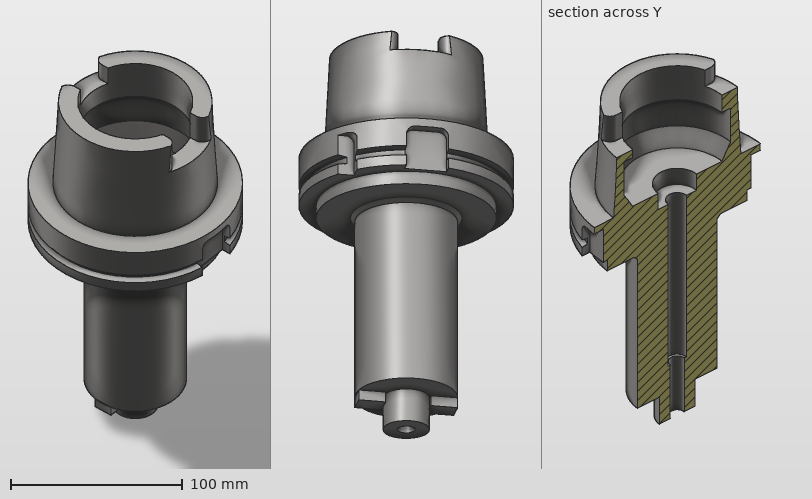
import cadquery as cq
import math


taper_height = 62.5
taper_base_radius = 48.0
taper_top_radius = 44.75

drive_slot_width = 25.0
drive_slot_corner_radius = 6.0
drive_slot_shoulder_x = 41.5
drive_slot_depth_minus_x = 12.0
drive_slot_depth_plus_x = 19.0

flange_radius = 62.5
flange_bottom = -29.5
groove_floor_radius = 58.5
groove_top = -17.3
groove_floor_top = -18.5
groove_floor_bottom = -22.3
groove_bottom = -23.2

pocket_top = -5.0
pocket_width = 25.0
pocket_corner_radius = 5.0
pocket_floor_distance = 55.5
notch_wall_distance = pocket_floor_distance / math.sqrt(2)

collar_radius = 52.5
collar_bottom = -37.3
arbor_radius = 30.0
arbor_flare = 2.5
arbor_bottom = -150.5
pilot_radius = 13.5
pilot_bottom = taper_height - 233.0

key_width = 12.0
key_height = 6.2

mouth_radius = 33.5
mouth_depth = 25.2
chamber_radius = 40.0
chamber_depth = 49.8
chamber_cone_angle = 30.0
seat_bore_radius = 14.4
seat_bore_depth = 12.0
coolant_bore_radius = 6.8
screw_hole_radius = 5.2
screw_hole_length = 40.0


def make_body():
    """Revolve the outer profile of the whole holder."""
    outline = [
        (0, taper_height),
        (taper_top_radius, taper_height),
        (taper_base_radius, 0),
        (flange_radius, 0),
        (flange_radius, groove_top),
        (groove_floor_radius, groove_floor_top),
        (groove_floor_radius, groove_floor_bottom),
        (flange_radius, groove_bottom),
        (flange_radius, flange_bottom),
        (collar_radius, flange_bottom),
        (collar_radius, collar_bottom),
        (arbor_radius + arbor_flare, collar_bottom),
        (arbor_radius, collar_bottom - arbor_flare),
        (arbor_radius, arbor_bottom),
        (pilot_radius, arbor_bottom),
        (pilot_radius, pilot_bottom),
        (0, pilot_bottom),
    ]
    return cq.Workplane("YZ").polyline(outline).close().revolve(360, (0, 0), (0, 1))


def make_cavity():
    """Revolve the stepped cavity that runs through the holder."""
    mouth_floor = taper_height - mouth_depth
    chamber_floor = taper_height - chamber_depth
    cone_height = (chamber_radius - mouth_radius) / math.tan(math.radians(chamber_cone_angle))
    cavity_floor = chamber_floor - cone_height
    seat_floor = cavity_floor - seat_bore_depth
    screw_hole_top = pilot_bottom + screw_hole_length
    outline = [
        (0, taper_height),
        (mouth_radius, taper_height),
        (mouth_radius, mouth_floor),
        (chamber_radius, mouth_floor),
        (chamber_radius, chamber_floor),
        (mouth_radius, cavity_floor),
        (seat_bore_radius, cavity_floor),
        (seat_bore_radius, seat_floor),
        (coolant_bore_radius, seat_floor),
        (coolant_bore_radius, screw_hole_top),
        (screw_hole_radius, screw_hole_top),
        (screw_hole_radius, pilot_bottom),
        (0, pilot_bottom),
    ]
    return cq.Workplane("YZ").polyline(outline).close().revolve(360, (0, 0), (0, 1))


def make_drive_slot(side, depth):
    """Slot through the taper wall at side * X, with its outer corners rounded."""
    half_width = drive_slot_width / 2
    shoulder_y = half_width + drive_slot_corner_radius
    arc_start_x = drive_slot_shoulder_x - drive_slot_corner_radius
    arc_offset = drive_slot_corner_radius * math.sin(math.radians(45))
    arc_mid = (side * (arc_start_x + arc_offset), shoulder_y - arc_offset)
    return (
        cq.Workplane("XY", origin=(0, 0, taper_height - depth))
        .moveTo(0, -half_width)
        .lineTo(side * arc_start_x, -half_width)
        .threePointArc((arc_mid[0], -arc_mid[1]), (side * drive_slot_shoulder_x, -shoulder_y))
        .lineTo(side * drive_slot_shoulder_x, -flange_radius)
        .lineTo(side * flange_radius, -flange_radius)
        .lineTo(side * flange_radius, flange_radius)
        .lineTo(side * drive_slot_shoulder_x, flange_radius)
        .lineTo(side * drive_slot_shoulder_x, shoulder_y)
        .threePointArc(arc_mid, (side * arc_start_x, half_width))
        .lineTo(0, half_width)
        .close()
        .extrude(depth)
    )


def flange_block(x_range, y_range):
    """Cutting block that spans the flange from its underside up to the pocket top."""
    return cq.Workplane("XY").box(
        x_range[1] - x_range[0],
        y_range[1] - y_range[0],
        pocket_top - flange_bottom,
        centered=False,
    ).translate((x_range[0], y_range[0], flange_bottom))


def make_gripper_pocket(side):
    """Flat-floored pocket in the flange rim at side * X, round at its top corners."""
    x_range = sorted((side * pocket_floor_distance, side * flange_radius))
    y_range = (-pocket_width / 2, pocket_width / 2)
    return flange_block(x_range, y_range).edges("|X and >Z").fillet(pocket_corner_radius)


def make_orientation_notch():
    """Square notch in the flange rim between -X and +Y, round at its inner top edge."""
    x_range = (-flange_radius, -notch_wall_distance)
    y_range = (notch_wall_distance, flange_radius)
    block = flange_block(x_range, y_range)
    return block.edges("|X and >Z and <Y").fillet(pocket_corner_radius)


def make_key(side):
    """Driving key below the arbor face, from the pilot outward along side * Y."""
    outer_end = math.sqrt(arbor_radius**2 - (key_width / 2) ** 2)
    length = outer_end - pilot_radius
    return (
        cq.Workplane("XY", origin=(0, side * (pilot_radius + length / 2), arbor_bottom))
        .rect(key_width, length)
        .extrude(-key_height)
    )


result = make_body().cut(make_cavity())
for key_side in (-1, 1):
    result = result.union(make_key(key_side))
result = result.cut(make_drive_slot(-1, drive_slot_depth_minus_x))
result = result.cut(make_drive_slot(1, drive_slot_depth_plus_x))
for pocket_side in (-1, 1):
    result = result.cut(make_gripper_pocket(pocket_side))
result = result.cut(make_orientation_notch())